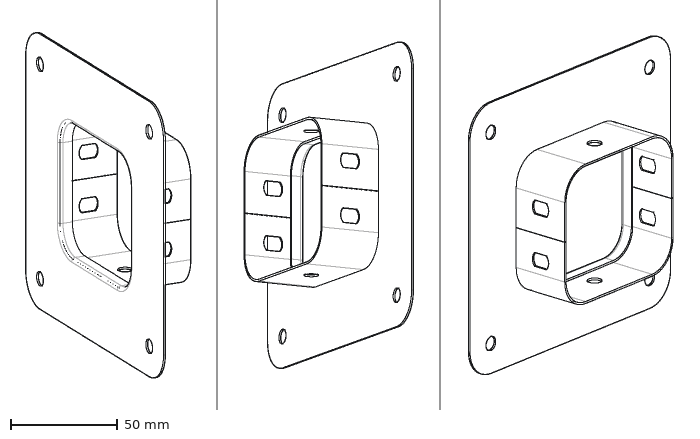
import cadquery as cq

PLATE_WIDTH = 144.5
PLATE_HEIGHT = 136.0
SHEET = 1.0
CORNER_RADIUS = 15.0
MOUNT_HOLE_DIAMETER = 7.0
MOUNT_HOLE_INSET = CORNER_RADIUS
LIP_DEPTH = 7.0

COLLAR_WIDTH = 78.0
COLLAR_HEIGHT = 70.0
SPLIT_GAP = 0.1
COLLAR_DEPTH = 30.0
TOTAL_DEPTH = SHEET + COLLAR_DEPTH
COLLAR_MIDDLE = (SHEET + TOTAL_DEPTH) / 2
SCREW_HOLE_DIAMETER = 7.0
SLOT_LENGTH = 10.0
SLOT_HEIGHT = 7.0
SLOT_OFFSET = 13.1

LIP_INSET = SHEET
OPENING_INSET = 2 * SHEET
BEND_RADIUS = OPENING_INSET
THROUGH = 2 * PLATE_WIDTH


def rounded_block(width, height, radius, front, back):
    """Block with rounded corners, centred on the Y axis, from Y = front to Y = back."""
    block = cq.Workplane("XY").box(width, back - front, height)
    return block.edges("|Y").fillet(radius).translate((0, (front + back) / 2, 0))


def collar_block(inset, front, back):
    """Collar outline moved inwards by the inset."""
    return rounded_block(
        COLLAR_WIDTH - 2 * inset, COLLAR_HEIGHT - 2 * inset, CORNER_RADIUS - inset, front, back
    )


def make_plate():
    plate = rounded_block(PLATE_WIDTH, PLATE_HEIGHT, CORNER_RADIUS, 0, SHEET)
    plate = plate.union(collar_block(LIP_INSET, 0, LIP_DEPTH))
    plate = plate.cut(collar_block(OPENING_INSET, 0, LIP_DEPTH))

    opening_zone = cq.selectors.BoxSelector(
        (-COLLAR_WIDTH / 2, -SHEET / 2, -COLLAR_HEIGHT / 2),
        (COLLAR_WIDTH / 2, SHEET / 2, COLLAR_HEIGHT / 2),
    )
    plate = plate.edges(opening_zone).fillet(BEND_RADIUS)

    hole_spacing_x = PLATE_WIDTH - 2 * MOUNT_HOLE_INSET
    hole_spacing_z = PLATE_HEIGHT - 2 * MOUNT_HOLE_INSET
    mount_holes = (
        cq.Workplane("XZ")
        .rect(hole_spacing_x, hole_spacing_z, forConstruction=True)
        .vertices()
        .circle(MOUNT_HOLE_DIAMETER / 2)
        .extrude(THROUGH, both=True)
    )
    return plate.cut(mount_holes)


def slot_cutter(height):
    """Bar along X: a round bar of the slot length, flattened to the slot height."""
    round_bar = cq.Workplane("YZ").circle(SLOT_LENGTH / 2).extrude(THROUGH, both=True)
    flat_bar = cq.Workplane("XY").box(THROUGH, SLOT_LENGTH, SLOT_HEIGHT)
    return round_bar.intersect(flat_bar).translate((0, COLLAR_MIDDLE, height))


def make_collar_half(side):
    """Half of the collar above (side = 1) or below (side = -1) the plane Z = 0."""
    ring = collar_block(0, SHEET, TOTAL_DEPTH).cut(collar_block(LIP_INSET, SHEET, TOTAL_DEPTH))
    half_space = (
        cq.Workplane("XY")
        .workplane(offset=side * SPLIT_GAP / 2)
        .rect(THROUGH, THROUGH)
        .extrude(side * COLLAR_HEIGHT)
    )
    half = ring.intersect(half_space)

    screw_hole = (
        cq.Workplane("XY")
        .center(0, COLLAR_MIDDLE)
        .circle(SCREW_HOLE_DIAMETER / 2)
        .extrude(side * COLLAR_HEIGHT)
    )
    return half.cut(screw_hole).cut(slot_cutter(side * SLOT_OFFSET))


plate = make_plate()
collar_halves = [make_collar_half(side) for side in (1, -1)]

result = cq.Compound.makeCompound([plate.val(), *[half.val() for half in collar_halves]])